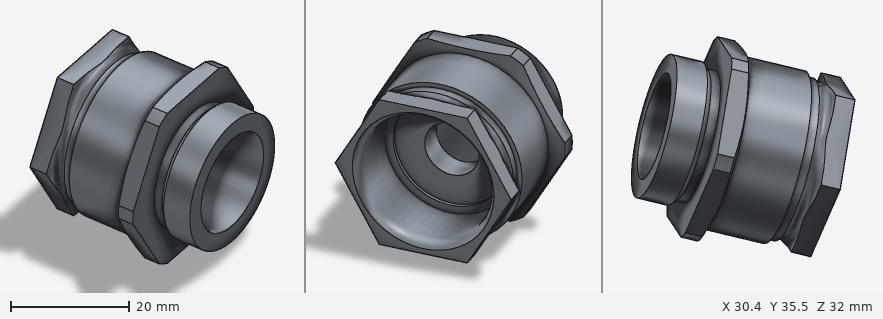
import cadquery as cq
import math

total_length = 30.4
cable_radius = 5.0

nut_flats = 28.05
nut_hex_length = 3.4
groove_radius = 1.25
groove_floor_radius = 13.7
collar_radius = 14.15
collar_start = 5.68
groove_end = 5.45
collar_end = 7.35
nut_bore_radius = 12.0
nut_mouth_radius = 13.02
nut_mouth_round = 3.0
spigot_radius = 13.13
nut_length = 11.5

washer_hole_radius = 10.5
washer_thickness = 0.7

seal_start = nut_length + washer_thickness
seal_length = 4.97
seal_end = seal_start + seal_length

barrel_radius = 15.0
flange_flats = 32.0
flange_corner_radius = 17.75
flange_start = 18.45
flange_chamfer_end = 19.4
flange_end = 22.4
relief_radius = 11.5
relief_end = 24.05
thread_radius = 12.5
thread_start = 25.02
passage_radius = 9.23


def tube(start, end, outer_radius, inner_radius):
    """Plain ring around the X axis."""
    return (
        cq.Workplane("YZ", origin=(start, 0, 0))
        .circle(outer_radius)
        .circle(inner_radius)
        .extrude(end - start)
    )


def hexagon(start, end, flats):
    """Hexagonal bar along X with corners on the Y axis and flats facing +Z and -Z."""
    corner_diameter = flats / math.cos(math.radians(30))
    return (
        cq.Workplane("YZ", origin=(start, 0, 0))
        .polygon(6, corner_diameter)
        .extrude(end - start)
    )


def revolve_about_x(profile):
    """Turn a closed (X, radius) profile around the X axis."""
    return profile.close().revolve(360, (0, 0, 0), (1, 0, 0))


def make_nut():
    """Hexagon head, round groove, collar and a spigot that enters the body."""
    groove_centre_x = nut_hex_length + groove_radius
    groove_centre_radius = groove_floor_radius + groove_radius
    rise = math.sqrt(groove_radius**2 - (groove_end - groove_centre_x) ** 2)
    groove_end_radius = groove_centre_radius - rise
    diagonal = groove_radius * math.sqrt(0.5)
    nut_corner_radius = nut_flats / 2 / math.cos(math.radians(30))

    envelope = revolve_about_x(
        cq.Workplane("XY")
        .lineTo(0, nut_corner_radius)
        .lineTo(nut_hex_length, nut_corner_radius)
        .lineTo(nut_hex_length, groove_centre_radius)
        .threePointArc(
            (groove_centre_x - diagonal, groove_centre_radius - diagonal),
            (groove_centre_x, groove_floor_radius),
        )
        .lineTo(groove_centre_x, 0)
    )
    head = envelope.intersect(hexagon(0, groove_centre_x, nut_flats))

    half_angle = math.asin((groove_end - groove_centre_x) / groove_radius) / 2
    shank = revolve_about_x(
        cq.Workplane("XY")
        .moveTo(groove_centre_x, 0)
        .lineTo(groove_centre_x, groove_floor_radius)
        .threePointArc(
            (
                groove_centre_x + groove_radius * math.sin(half_angle),
                groove_centre_radius - groove_radius * math.cos(half_angle),
            ),
            (groove_end, groove_end_radius),
        )
        .lineTo(collar_start, collar_radius)
        .lineTo(collar_end, collar_radius)
        .lineTo(collar_end, spigot_radius)
        .lineTo(nut_length, spigot_radius)
        .lineTo(nut_length, 0)
    )
    return head.union(shank).cut(make_nut_bore())


def make_nut_bore():
    """Straight bore that flares to the mouth along an arc tangent to the bore wall."""
    flare_rise = nut_mouth_radius - nut_bore_radius
    flare_length = math.sqrt(nut_mouth_round**2 - (nut_mouth_round - flare_rise) ** 2)
    half_angle = math.asin(flare_length / nut_mouth_round) / 2
    flare_middle = (
        flare_length - nut_mouth_round * math.sin(half_angle),
        nut_bore_radius + nut_mouth_round * (1 - math.cos(half_angle)),
    )
    return revolve_about_x(
        cq.Workplane("XY")
        .lineTo(0, nut_mouth_radius)
        .threePointArc(flare_middle, (flare_length, nut_bore_radius))
        .lineTo(nut_length, nut_bore_radius)
        .lineTo(nut_length, 0)
    )


def make_washer():
    """Flat ring against the end of the nut."""
    return tube(nut_length, seal_start, spigot_radius, washer_hole_radius)


def make_seal():
    """Thick ring that grips the cable."""
    return tube(seal_start, seal_end, spigot_radius, cable_radius)


def make_flange():
    """Hexagon with its corners turned round and a conical face toward the nut."""
    blank = revolve_about_x(
        cq.Workplane("XY")
        .moveTo(flange_start, 0)
        .lineTo(flange_start, barrel_radius)
        .lineTo(flange_chamfer_end, flange_corner_radius)
        .lineTo(flange_end, flange_corner_radius)
        .lineTo(flange_end, 0)
    )
    return blank.intersect(hexagon(flange_start, flange_end, flange_flats))


def make_body():
    """Barrel, hexagon flange and thread end, bored for the nut, washer and seal."""
    turned = revolve_about_x(
        cq.Workplane("XY")
        .moveTo(collar_end, 0)
        .lineTo(collar_end, barrel_radius)
        .lineTo(flange_end, barrel_radius)
        .lineTo(flange_end, relief_radius)
        .lineTo(relief_end, relief_radius)
        .lineTo(thread_start, thread_radius)
        .lineTo(total_length, thread_radius)
        .lineTo(total_length, 0)
    )
    socket = (
        cq.Workplane("YZ", origin=(collar_end, 0, 0))
        .circle(spigot_radius)
        .extrude(seal_end - collar_end)
    )
    passage = (
        cq.Workplane("YZ", origin=(seal_end, 0, 0))
        .circle(passage_radius)
        .extrude(total_length - seal_end)
    )
    return turned.union(make_flange()).cut(socket).cut(passage)


nut = make_nut()
washer = make_washer()
seal = make_seal()
body = make_body()

result = cq.Compound.makeCompound([nut.val(), washer.val(), seal.val(), body.val()])